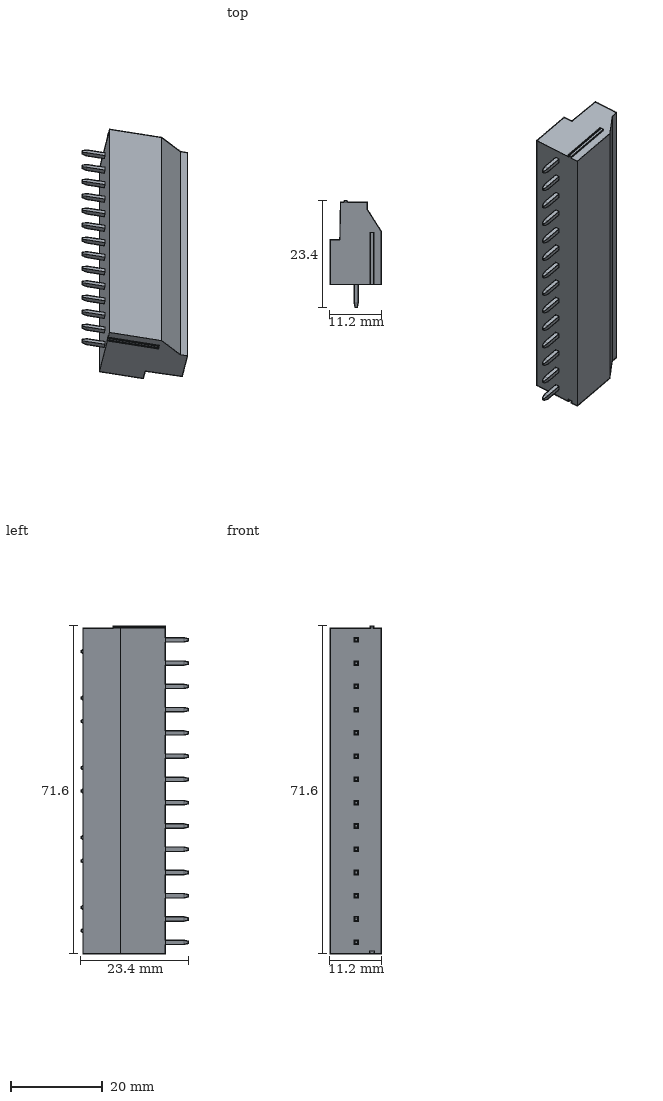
import cadquery as cq

pole_count = 14
pitch = 5.08
body_width = 11.2
body_depth = 18.0
body_height = pole_count * pitch

half_width = body_width / 2
step_depth = 9.8
step_width_at_base = 2.1
step_width_at_back = 2.25
slope_start_x = 2.55
slope_start_depth = 16.4
slope_end_depth = 11.6

pin_x = 0.1
pin_width = 0.9
pin_height = 1.0
pin_length = 5.0
pin_tip_length = 1.0
pin_tip_ratio = 0.55

key_x = 3.55
key_depth = 11.4
rail_height = 0.5
rail_neck_height = 0.3
rail_head_width = 0.95
rail_neck_width = 0.55
groove_clearance = 0.1

bump_x = -2.2
bump_base_radius = 0.45
bump_top_radius = 0.2
bump_protrusion = 0.4
bump_group = 3
bump_gap_in_group = 1


def make_body():
    """Stepped profile extruded over the full height."""
    return (
        cq.Workplane("XY")
        .moveTo(-half_width, 0)
        .lineTo(half_width, 0)
        .lineTo(half_width, slope_end_depth)
        .lineTo(slope_start_x, slope_start_depth)
        .lineTo(slope_start_x, body_depth)
        .lineTo(-half_width + step_width_at_back, body_depth)
        .lineTo(-half_width + step_width_at_base, step_depth)
        .lineTo(-half_width, step_depth)
        .close()
        .extrude(body_height)
    )


def make_key(base_z, neck_height, height, neck_width, head_width):
    """T-shaped bar running back from the front face, narrow at its base."""
    head = (
        cq.Workplane("XZ")
        .center(key_x, base_z + (neck_height + height) / 2)
        .rect(head_width, height - neck_height)
        .extrude(-key_depth)
    )
    neck = (
        cq.Workplane("XZ")
        .center(key_x, base_z + height / 2)
        .rect(neck_width, height)
        .extrude(-key_depth)
    )
    return head.union(neck)


def make_pin(center_z):
    """Rectangular pin with a tapered tip, pointing along -Y."""
    shank_length = pin_length - pin_tip_length
    shank = (
        cq.Workplane("XZ")
        .center(pin_x, center_z)
        .rect(pin_width, pin_height)
        .extrude(shank_length)
    )
    tip = (
        cq.Workplane("XZ", origin=(0, -shank_length, 0))
        .center(pin_x, center_z)
        .rect(pin_width, pin_height)
        .workplane(offset=pin_tip_length)
        .rect(pin_width * pin_tip_ratio, pin_height * pin_tip_ratio)
        .loft(ruled=True)
    )
    return shank.union(tip)


def make_bump(center_z):
    """Truncated cone standing on the back face."""
    return (
        cq.Workplane("XZ", origin=(bump_x, body_depth, center_z))
        .circle(bump_base_radius)
        .workplane(offset=-bump_protrusion)
        .circle(bump_top_radius)
        .loft(ruled=True)
    )


result = make_body()
result = result.union(
    make_key(body_height, rail_neck_height, rail_height, rail_neck_width, rail_head_width)
)
result = result.cut(
    make_key(
        0,
        rail_neck_height - groove_clearance,
        rail_height + groove_clearance,
        rail_neck_width + groove_clearance,
        rail_head_width + groove_clearance,
    )
)

for pole in range(pole_count):
    result = result.union(make_pin((pole + 0.5) * pitch))

for gap in range(pole_count - 1):
    if gap % bump_group != bump_gap_in_group:
        result = result.union(make_bump(body_height - (gap + 1) * pitch))